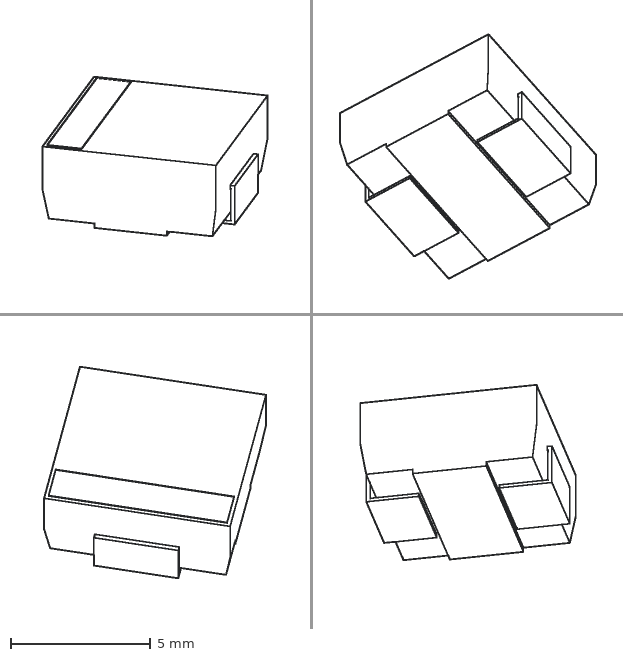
import cadquery as cq
import math

overall_length = 6.81
overall_height = 3.05

housing_length = 6.47
housing_width = 6.81
parting_height = 1.36
housing_bottom = 0.17
draft_angle = 8.8
standoff_length = 2.7

band_thickness = 0.03
band_length = 1.28
band_margin = 0.14
housing_top = overall_height - band_thickness

lead_width = 3.09
lead_height = 1.5
lead_wall = 0.145
foot_thickness = 0.125
foot_length = 1.93
tab_thickness = lead_height - parting_height


def make_housing():
    upper = (
        cq.Workplane("XY", origin=(0, 0, parting_height))
        .rect(housing_length, housing_width)
        .extrude(housing_top - parting_height)
    )
    draft_height = parting_height - housing_bottom
    lower = (
        cq.Workplane("XY", origin=(0, 0, parting_height))
        .rect(housing_length, housing_width)
        .extrude(-draft_height, taper=draft_angle)
    )
    standoff_width = housing_width - 2 * draft_height * math.tan(math.radians(draft_angle))
    standoff = cq.Workplane("XY").rect(standoff_length, standoff_width).extrude(housing_bottom)
    return upper.union(lower).union(standoff)


def make_marking_band():
    band_center_x = -housing_length / 2 + band_margin + band_length / 2
    return (
        cq.Workplane("XY", origin=(band_center_x, 0, housing_top))
        .rect(band_length, housing_width - 2 * band_margin)
        .extrude(band_thickness)
    )


def make_lead(side):
    """Bent strip on the -X (side = -1) or +X (side = 1) end, its top tab touching the housing."""
    outer_x = side * overall_length / 2
    inner_x = outer_x - side * lead_wall
    foot_end_x = outer_x - side * foot_length
    housing_x = side * housing_length / 2
    tab_bottom = lead_height - tab_thickness
    profile = [
        (outer_x, 0),
        (outer_x, lead_height),
        (housing_x, lead_height),
        (housing_x, tab_bottom),
        (inner_x, tab_bottom),
        (inner_x, foot_thickness),
        (foot_end_x, foot_thickness),
        (foot_end_x, 0),
    ]
    return cq.Workplane("XZ").polyline(profile).close().extrude(lead_width / 2, both=True)


housing = make_housing()
marking_band = make_marking_band()
leads = [make_lead(side) for side in (-1, 1)]

result = cq.Compound.makeCompound(
    [housing.val(), marking_band.val(), *[lead.val() for lead in leads]]
)